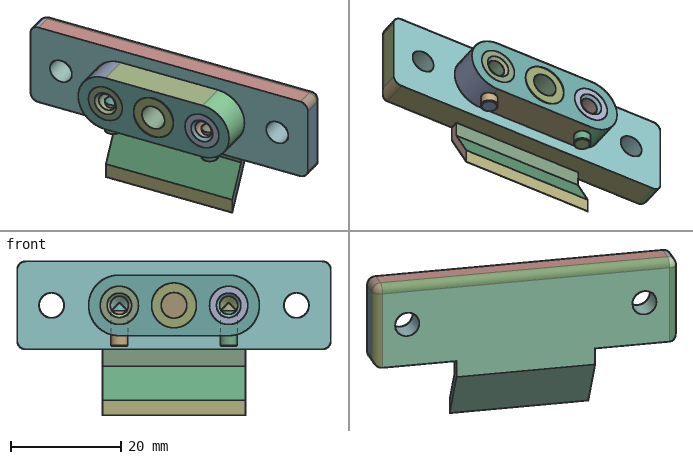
import cadquery as cq
import math


plate_length = 57.0
plate_height = 16.0
plate_thickness = 5.0
edge_radius = 1.6
mount_hole_diameter = 4.5
mount_hole_offset = 22.25

flap_width = 26.0
flap_thickness = 1.6
flap_drop = 11.95
flap_bend_drop = 3.1
flap_tip_height = 2.8

boss_height = 6.0
boss_length = 31.0
boss_width = 11.0
ring_rise = 0.1
ring_diameter = 8.15
centre_hole_diameter = 4.7

socket_offset = 9.9
socket_diameter = 6.95
socket_depth = 7.0
bore_diameter = 3.3
bore_depth = 4.75
bore_mouth_diameter = 4.45
drill_tip_angle = 118.0

screw_diameter = 3.1
screw_stand_off = 2.95
screw_protrusion = 1.9
screw_tip_rise = 0.5
screw_end_chamfer = 0.15

plate_bottom = -plate_height / 2
boss_front = -boss_height
bore_radius = bore_diameter / 2
screw_radius = screw_diameter / 2
socket_places = [-socket_offset, socket_offset]


def cylinder_to_back(x, front, diameter, depth):
    """Cylinder along +Y that starts at y = front, level with the plate centre."""
    start = cq.Vector(x, front, 0)
    return cq.Workplane(cq.Solid.makeCylinder(diameter / 2, depth, start, cq.Vector(0, 1, 0)))


def make_plate():
    """Plate with round corners and a rounded back edge along its top and sides."""
    size = (plate_length, plate_thickness, plate_height)
    block = cq.Workplane().box(*size).translate((0, plate_thickness / 2, 0))
    rounded = block.edges("|Y and >Z").fillet(edge_radius)
    rounded = rounded.faces(">Y").edges("not <Z").fillet(edge_radius)
    outline = block.edges("|Y").fillet(edge_radius)
    return rounded.intersect(outline)


def make_flap():
    """Flap that drops from the plate back and bends forward to the plate front."""
    back = plate_thickness
    inner = plate_thickness - flap_thickness
    bend = plate_bottom - flap_bend_drop
    tip = plate_bottom - flap_drop
    profile = [
        (inner, plate_bottom),
        (inner, bend),
        (0, tip + flap_tip_height),
        (0, tip),
        (back, bend),
        (back, plate_bottom),
    ]
    return cq.Workplane("YZ").polyline(profile).close().extrude(flap_width / 2, both=True)


def make_boss():
    """Obround boss on the plate front with the raised ring at its centre."""
    boss = cq.Workplane("XZ").slot2D(boss_length, boss_width).extrude(boss_height)
    ring = cylinder_to_back(0, boss_front - ring_rise, ring_diameter, boss_height + ring_rise)
    return boss.union(ring)


def make_socket(x):
    """Socket with a countersunk, drilled bore; its side hole takes the set screw."""
    body = cylinder_to_back(x, boss_front, socket_diameter, socket_depth)
    mouth_radius = bore_mouth_diameter / 2
    mouth_depth = mouth_radius - bore_radius
    tip_depth = bore_radius / math.tan(math.radians(drill_tip_angle / 2))
    bore_profile = [
        (0, boss_front),
        (mouth_radius, boss_front),
        (bore_radius, boss_front + mouth_depth),
        (bore_radius, boss_front + bore_depth),
        (0, boss_front + bore_depth + tip_depth),
    ]
    bore = cq.Workplane("XY").polyline(bore_profile).close().revolve(360, (0, 0), (0, 1))
    return body.cut(bore.translate((x, 0, 0))).cut(make_set_screw(x))


def make_set_screw(x):
    """Upright set screw with a 90 degree cone point and a chamfered lower end."""
    end = -boss_width / 2 - screw_protrusion
    profile = [
        (0, end),
        (screw_radius - screw_end_chamfer, end),
        (screw_radius, end + screw_end_chamfer),
        (screw_radius, screw_tip_rise - screw_radius),
        (0, screw_tip_rise),
    ]
    screw = cq.Workplane("XZ").polyline(profile).close().revolve(360, (0, 0), (0, 1))
    return screw.translate((x, -screw_stand_off, 0))


def make_housing():
    """Plate, flap and boss in one piece, with the recesses for sockets and screws."""
    housing = make_plate().union(make_flap()).union(make_boss())
    hole_depth = boss_height + ring_rise
    housing = housing.cut(cylinder_to_back(0, -hole_depth, centre_hole_diameter, hole_depth))
    for x in (-mount_hole_offset, mount_hole_offset):
        housing = housing.cut(cylinder_to_back(x, 0, mount_hole_diameter, plate_thickness))
    for x in socket_places:
        housing = housing.cut(cylinder_to_back(x, boss_front, socket_diameter, socket_depth))
        housing = housing.cut(make_set_screw(x))
    return housing


housing = make_housing()
sockets = [make_socket(x) for x in socket_places]
set_screws = [make_set_screw(x) for x in socket_places]

result = cq.Compound.makeCompound(
    [housing.val()] + [body.val() for body in sockets + set_screws]
)